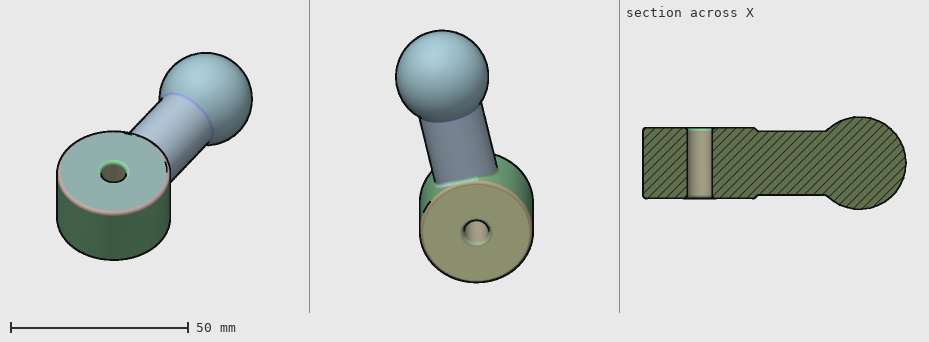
import cadquery as cq
import math

hub_diameter = 32.0
hub_height = 20.0
bore_diameter = 7.0

overall_length = 74.1
ball_diameter = 26.15
neck_diameter = 18.0

hub_radius = hub_diameter / 2
bore_radius = bore_diameter / 2
ball_radius = ball_diameter / 2
neck_radius = neck_diameter / 2
ball_center_y = overall_length - hub_radius - ball_radius

edge_radius = hub_height / 2 - neck_radius


def make_hub():
    """Hub with rounded outer rims and rounded bore mouths."""
    blank = (
        cq.Workplane("XY")
        .workplane(offset=-hub_height / 2)
        .circle(hub_radius)
        .circle(bore_radius)
        .extrude(hub_height)
    )
    return blank.faces("|Z").edges().fillet(edge_radius)


def make_stud():
    """Neck and ball turned about the Y axis, with a concave blend between them."""
    start_y = (bore_radius + hub_radius) / 2

    blend_x = neck_radius + edge_radius
    center_distance = ball_radius + edge_radius
    angle = math.acos(blend_x / center_distance)
    blend_y = ball_center_y - center_distance * math.sin(angle)
    blend_end = (
        ball_radius * math.cos(angle),
        ball_center_y - ball_radius * math.sin(angle),
    )
    blend_middle = (
        blend_x - edge_radius * math.cos(angle / 2),
        blend_y + edge_radius * math.sin(angle / 2),
    )
    return (
        cq.Workplane("XY")
        .moveTo(0, start_y)
        .lineTo(neck_radius, start_y)
        .lineTo(neck_radius, blend_y)
        .threePointArc(blend_middle, blend_end)
        .threePointArc((ball_radius, ball_center_y), (0, ball_center_y + ball_radius))
        .close()
        .revolve(360, (0, 0, 0), (0, 1, 0))
    )


def round_neck_root(body):
    """Round the inside corner where the neck enters the hub wall."""
    root_zone = cq.selectors.BoxSelector(
        (-hub_radius, bore_radius, -hub_height),
        (hub_radius, hub_radius + edge_radius, hub_height),
        boundingbox=True,
    )
    return body.edges(root_zone).fillet(edge_radius)


result = round_neck_root(make_hub().union(make_stud()))